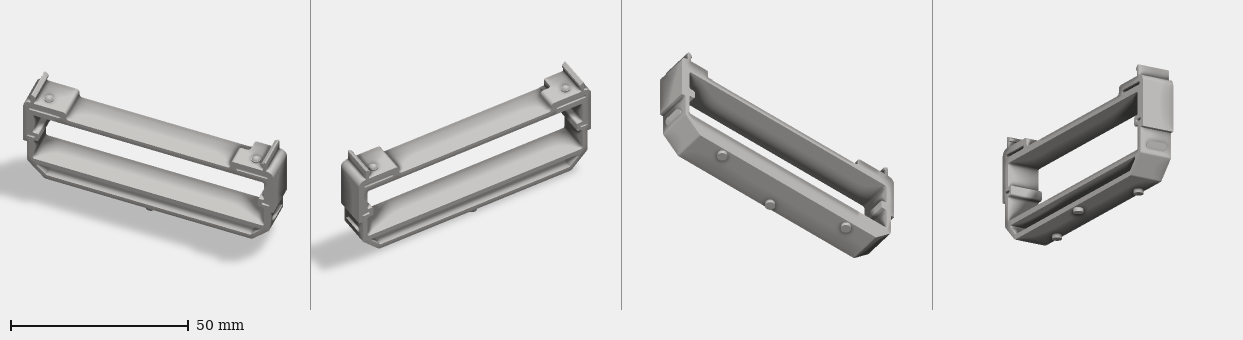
import cadquery as cq

length = 76.0
depth = 10.0
top_z = 28.65
half_length = length / 2

rail_top_z = 25.85
shoulder_width = 13.0
shoulder_radius = 1.0
corner_radius = 2.0
side_step = 1.2
side_step_z = 12.85
bevel = 5.3
bevel_radius = 0.75

window_half = 35.2
window_bottom_z = 6.6
window_top_z = 23.95
window_radius = 0.6
lug_half = 33.4
lug_bottom_z = 14.0
lug_top_z = 16.95
lug_radius = 0.45

recess_depth = depth / 2
recess_draft = 2.0
slot_outer = 36.3
slot_inner = 26.7
slot_height = 1.0
slot_z = 26.3
lug_slot_outer = 36.9
lug_slot_inner = 34.4
lug_slot_height = 0.8
lug_slot_z = 15.4
tray_half = 33.8
tray_top_z = 5.0
tray_side_z = 4.25
tray_bottom_z = 1.5

relief_front_y = 6.0
relief_wall_x = 28.4
relief_corner_radius = 0.9
relief_back_radius = 0.3
ramp_width = 1.4
ramp_back_height = 0.2
ramp_front_height = 0.45

pick_reach = 0.04

hook_top_z = 31.9
hook_inset = 2.3
hook_thickness = 0.9
barb_reach = 0.45
barb_bottom_z = 30.4
barb_top_z = 31.2
hook_tip_drop = 0.3
hook_tip_width = 0.4
hook_root_radius = 0.2

stud_x = 31.5
stud_y = 3.2
stud_radius = 1.3
stud_base_height = 0.45
dome_radius = 1.2
dome_sink = 0.4

catch_reach = 1.0
catch_bottom_z = 6.85
catch_top_z = 9.0
catch_length = 6.4

peg_radius = 1.45
peg_height = 1.15
peg_edge_distance = 1.8
peg_spacing = 22.1


def front_prism(points, y_end=depth, draft=0):
    """Closed XZ outline extruded from the front face back to y_end."""
    return cq.Workplane("XZ").polyline(points).close().extrude(-y_end, taper=draft)


def mirrored(points):
    """Right half of an outline completed with its mirror image."""
    return points + [(-x, z) for x, z in reversed(points)]


def round_edges(body, points, radius):
    """Fillet the Y edges standing at the given XZ points and their mirror images."""
    for x, z in points + [(-x, z) for x, z in points]:
        low_corner = (x - pick_reach, 0, z - pick_reach)
        high_corner = (x + pick_reach, depth, z + pick_reach)
        box = cq.selectors.BoxSelector(low_corner, high_corner)
        body = body.edges("|Y").edges(box).fillet(radius)
    return body


def frame_body():
    shoulder_x = half_length - shoulder_width
    lower_x = half_length - side_step
    outline = [
        (lower_x - bevel, 0),
        (lower_x, bevel),
        (lower_x, side_step_z),
        (half_length, side_step_z),
        (half_length, top_z),
        (shoulder_x, top_z),
        (shoulder_x, rail_top_z),
    ]
    body = front_prism(mirrored(outline))
    body = round_edges(body, outline[:2], bevel_radius)
    body = round_edges(body, outline[4:5], corner_radius)
    return round_edges(body, outline[5:], shoulder_radius)


def window():
    outline = [
        (window_half, window_bottom_z),
        (window_half, lug_bottom_z),
        (lug_half, lug_bottom_z),
        (lug_half, lug_top_z),
        (window_half, lug_top_z),
        (window_half, window_top_z),
    ]
    opening = front_prism(mirrored(outline))
    opening = round_edges(opening, [outline[0], outline[-1]], window_radius)
    return round_edges(opening, outline[1:-1], lug_radius)


def front_slot(side, inner, outer, z, height):
    return (
        cq.Workplane("XZ")
        .center(side * (inner + outer) / 2, z)
        .slot2D(outer - inner, height)
        .extrude(-recess_depth, taper=recess_draft)
    )


def tray():
    bottom_half = tray_half - (tray_side_z - tray_bottom_z)
    outline = [(bottom_half, tray_bottom_z), (tray_half, tray_side_z), (tray_half, tray_top_z)]
    return front_prism(mirrored(outline), recess_depth, recess_draft)


def shoulder_relief():
    """Cutter that takes the back of the right shoulder down to the rail, leaving a ramp at the wall."""
    x_start = half_length - shoulder_width - shoulder_radius
    width = relief_wall_x - x_start
    cutter = (
        cq.Workplane("XY", origin=(x_start, relief_front_y, rail_top_z))
        .box(width, depth - relief_front_y, top_z - rail_top_z, centered=False)
    )
    cutter = cutter.edges("|Z and >X and <Y").fillet(relief_corner_radius)

    back_flare = (
        cq.Workplane("XY", origin=(0, 0, rail_top_z))
        .moveTo(relief_wall_x, depth)
        .lineTo(relief_wall_x, depth - relief_back_radius)
        .radiusArc((relief_wall_x + relief_back_radius, depth), relief_back_radius)
        .close()
        .extrude(top_z - rail_top_z)
    )
    ramp = (
        cq.Workplane("YZ", origin=(relief_wall_x - ramp_width, 0, rail_top_z))
        .moveTo(relief_front_y, 0)
        .lineTo(depth, 0)
        .lineTo(depth, ramp_back_height)
        .lineTo(relief_front_y, ramp_front_height)
        .close()
        .extrude(ramp_width + relief_back_radius)
    )
    return cutter.union(back_flare).cut(ramp)


def hook(side):
    outer = half_length - hook_inset
    inner = outer - hook_thickness
    barb = inner - barb_reach
    outline = [
        (outer, top_z),
        (outer, hook_top_z - hook_tip_drop),
        (outer - hook_tip_drop / 2, hook_top_z),
        (outer - hook_tip_width, hook_top_z),
        (barb, barb_top_z),
        (barb, barb_bottom_z),
        (inner, barb_bottom_z),
        (inner, top_z),
    ]
    return front_prism([(side * x, z) for x, z in outline])


def hooked_frame():
    outer = half_length - hook_inset
    roots = [(outer, top_z), (outer - hook_thickness, top_z)]
    body = frame_body().union(hook(-1)).union(hook(1))
    return round_edges(body, roots, hook_root_radius)


def stud(side):
    base_top_z = top_z + stud_base_height
    base = (
        cq.Workplane("XY", origin=(side * stud_x, stud_y, top_z))
        .circle(stud_radius)
        .extrude(stud_base_height)
    )
    dome = cq.Workplane("XY").sphere(dome_radius).translate((side * stud_x, stud_y, base_top_z - dome_sink))
    return base.union(dome)


def catch(side):
    root = half_length - side_step
    height = catch_top_z - catch_bottom_z
    pad = (
        cq.Workplane("YZ", origin=(side * root, depth / 2, (catch_bottom_z + catch_top_z) / 2))
        .slot2D(catch_length, height)
        .extrude(side * catch_reach)
    )
    wedge = [
        (side * root, catch_bottom_z),
        (side * (root + catch_reach), catch_top_z),
        (side * root, catch_top_z),
    ]
    return pad.intersect(front_prism(wedge))


def peg(x, y):
    return cq.Workplane("XY", origin=(x, y, 0)).circle(peg_radius).extrude(-peg_height)


result = hooked_frame().cut(window()).cut(tray()).cut(shoulder_relief())
for side in (-1, 1):
    result = result.cut(front_slot(side, slot_inner, slot_outer, slot_z, slot_height))
    result = result.cut(front_slot(side, lug_slot_inner, lug_slot_outer, lug_slot_z, lug_slot_height))
    result = result.union(stud(side)).union(catch(side))
    result = result.union(peg(side * peg_spacing, depth - peg_edge_distance))
result = result.union(peg(0, peg_edge_distance))